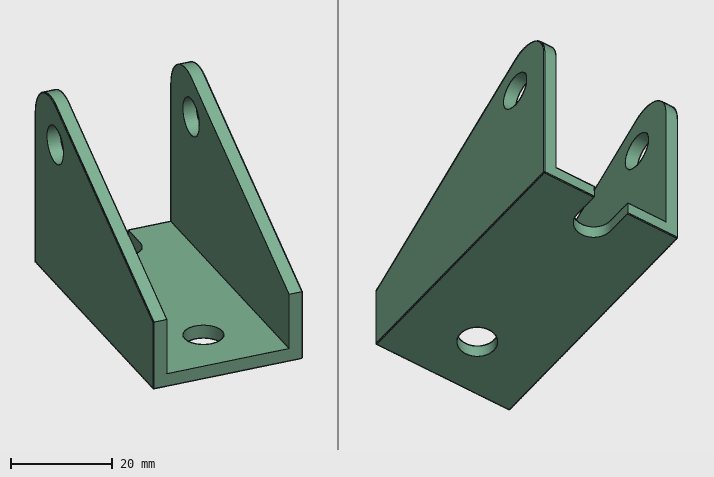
import cadquery as cq
import math

length = 58.0
width = 32.0
height = 40.5
thickness = 2.9
edge_break = 0.2

nose_radius = 7.0
rear_height = 14.95
hole_diameter = 8.0
pin_x = 10.0
pin_z = 31.0

slot_center_x = 6.0
base_hole_x = 46.0

nose_x = nose_radius
nose_z = height - nose_radius
run = length - nose_x
drop = nose_z - rear_height
normal_angle = math.acos(nose_radius / math.hypot(run, drop)) - math.atan2(drop, run)


def nose_point(angle):
    """Point on the rounded nose at an angle measured from +X."""
    return (nose_x + nose_radius * math.cos(angle), nose_z + nose_radius * math.sin(angle))


def side_profile():
    """Solid block with the side outline and lightly broken outer edges."""
    return (
        cq.Workplane("XZ")
        .lineTo(length, 0)
        .lineTo(length, rear_height)
        .lineTo(*nose_point(normal_angle))
        .threePointArc(nose_point((normal_angle + math.pi) / 2), nose_point(math.pi))
        .close()
        .extrude(width / 2, both=True)
        .faces("<Y or >Y or <Z")
        .edges()
        .chamfer(edge_break)
    )


def channel():
    """Space between the side walls, above the base."""
    return cq.Workplane("XY").box(
        length, width - 2 * thickness, height, centered=(False, True, False)
    ).translate((0, 0, thickness))


def pin_holes():
    """Cross hole through both side walls."""
    return (
        cq.Workplane("XZ")
        .center(pin_x, pin_z)
        .circle(hole_diameter / 2)
        .extrude(width / 2, both=True)
    )


def base_openings():
    """Round hole and open-ended slot through the base."""
    hole = cq.Workplane("XY").center(base_hole_x, 0).circle(hole_diameter / 2).extrude(thickness)
    slot_end = cq.Workplane("XY").center(slot_center_x, 0).circle(hole_diameter / 2).extrude(thickness)
    slot_mouth = cq.Workplane("XY").box(
        slot_center_x, hole_diameter, thickness, centered=(False, True, False)
    )
    return hole.union(slot_end).union(slot_mouth)


result = side_profile().cut(channel()).cut(pin_holes()).cut(base_openings())